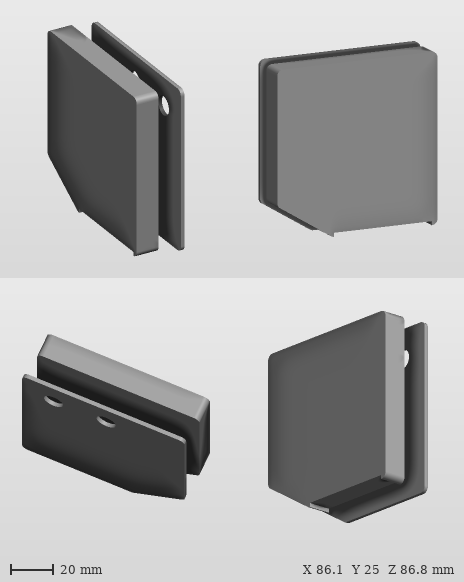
import cadquery as cq
import math

TOTAL_DEPTH = 25.0
TOTAL_HEIGHT = 86.8

BODY_WIDTH = 84.1
CORNER_RADIUS = 3.0
SIDE_SHIFT = 2.0

HOUSING_DEPTH = 12.0
HOUSING_DROP = 2.1
HOUSING_HEIGHT = TOTAL_HEIGHT - HOUSING_DROP
HOUSING_BEVEL_WIDTH = 29.0
HOUSING_BEVEL_HEIGHT = 18.0
NOTCH_HEIGHT = 2.0

PLATE_THICKNESS = 2.0
PLATE_HEIGHT = 86.1
PLATE_BEVEL_WIDTH = 27.0
PLATE_BEVEL_HEIGHT = 16.7
PLATE_FRONT = TOTAL_DEPTH - PLATE_THICKNESS
PLATE_BOTTOM = -HOUSING_DROP

HOLE_DIAMETER = 10.0
LEFT_HOLE_X = 42.6
LEFT_HOLE_Z = 70.2
RIGHT_HOLE_X = 69.8
RIGHT_HOLE_Z = 68.9
HOLE_CENTERS = [(LEFT_HOLE_X, LEFT_HOLE_Z), (RIGHT_HOLE_X, RIGHT_HOLE_Z)]


def beveled_panel(height, bevel_width, bevel_height, thickness):
    """Upright panel on y = 0..thickness, with its lower left corner cut off and all corners rounded."""
    outline = [
        (0, bevel_height),
        (bevel_width, 0),
        (BODY_WIDTH, 0),
        (BODY_WIDTH, height),
        (0, height),
    ]
    panel = cq.Workplane("XZ").polyline(outline).close().extrude(-thickness)
    return panel.edges("|Y").fillet(CORNER_RADIUS)


def make_housing():
    """Front block with a shallow notch along the straight part of its lower edge."""
    block = beveled_panel(HOUSING_HEIGHT, HOUSING_BEVEL_WIDTH, HOUSING_BEVEL_HEIGHT, HOUSING_DEPTH)
    bevel_angle = math.atan2(HOUSING_BEVEL_HEIGHT, HOUSING_BEVEL_WIDTH)
    notch_left = HOUSING_BEVEL_WIDTH + CORNER_RADIUS * math.tan(bevel_angle / 2)
    notch_right = BODY_WIDTH - CORNER_RADIUS
    notch = cq.Workplane("XY").box(
        notch_right - notch_left, HOUSING_DEPTH, NOTCH_HEIGHT, centered=False
    ).translate((notch_left, 0, 0))
    return block.cut(notch)


def plate_holes():
    """Cylinders that cut the round holes through the back plate."""
    holes = cq.Workplane("XZ").pushPoints(HOLE_CENTERS).circle(HOLE_DIAMETER / 2).extrude(-PLATE_THICKNESS)
    return holes.translate((0, PLATE_FRONT, 0))


def make_back_plate():
    """Thin plate behind the housing, shifted sideways and down, with two round holes."""
    plate = beveled_panel(PLATE_HEIGHT, PLATE_BEVEL_WIDTH, PLATE_BEVEL_HEIGHT, PLATE_THICKNESS)
    plate = plate.translate((SIDE_SHIFT, PLATE_FRONT, PLATE_BOTTOM))
    return plate.cut(plate_holes())


housing = make_housing()
back_plate = make_back_plate()

result = cq.Compound.makeCompound([housing.val(), back_plate.val()])